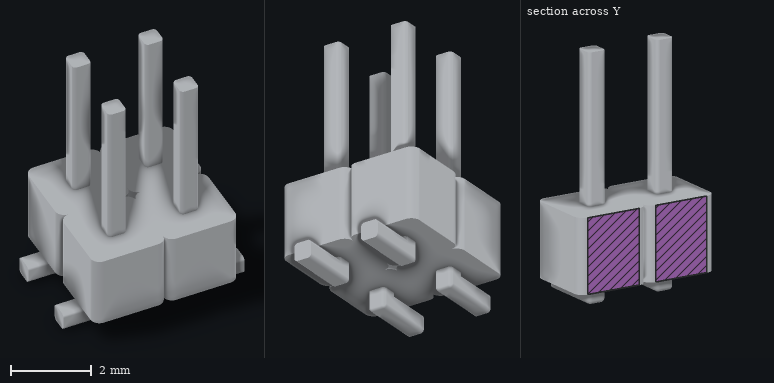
import cadquery as cq

pitch = 2.0
columns = 2
rows = 2
housing_height = 2.0
cell_corner_radius = 0.25

wire_size = 0.5
wire_edge_radius = 0.1
pin_height_above_housing = 4.0
standoff = 0.05
foot_overhang = 0.5

pin_top = housing_height / 2 + pin_height_above_housing
housing_bottom = -housing_height / 2
foot_top = housing_bottom - standoff
foot_bottom = foot_top - wire_size
foot_tip = rows * pitch / 2 + foot_overhang
column_places = [(i - (columns - 1) / 2) * pitch for i in range(columns)]
row_places = [(i - (rows - 1) / 2) * pitch for i in range(rows)]


def make_cell(x, y):
    """One housing cell; neighbouring cells meet along their flat sides."""
    return (
        cq.Workplane("XY", origin=(x, y, housing_bottom))
        .rect(pitch, pitch)
        .extrude(housing_height)
        .edges("|Z")
        .fillet(cell_corner_radius)
    )


def make_pin(x, y):
    """Upright post with a foot that runs out past the nearer Y side."""
    outward = 1 if y > 0 else -1
    post_height = pin_top - foot_bottom
    post = (
        cq.Workplane("XY", origin=(x, y, foot_bottom))
        .box(wire_size, wire_size, post_height, centered=(True, True, False))
        .edges("|Z or <Z")
        .fillet(wire_edge_radius)
    )
    foot_length = foot_tip - abs(y)
    foot_center = (x, y + outward * foot_length / 2, foot_bottom + wire_size / 2)
    foot = (
        cq.Workplane("XY", origin=foot_center)
        .box(wire_size, foot_length, wire_size)
        .edges("|Y")
        .fillet(wire_edge_radius)
    )
    return post.union(foot)


result = None
for x in column_places:
    for y in row_places:
        part = make_cell(x, y).union(make_pin(x, y))
        result = part if result is None else result.union(part)